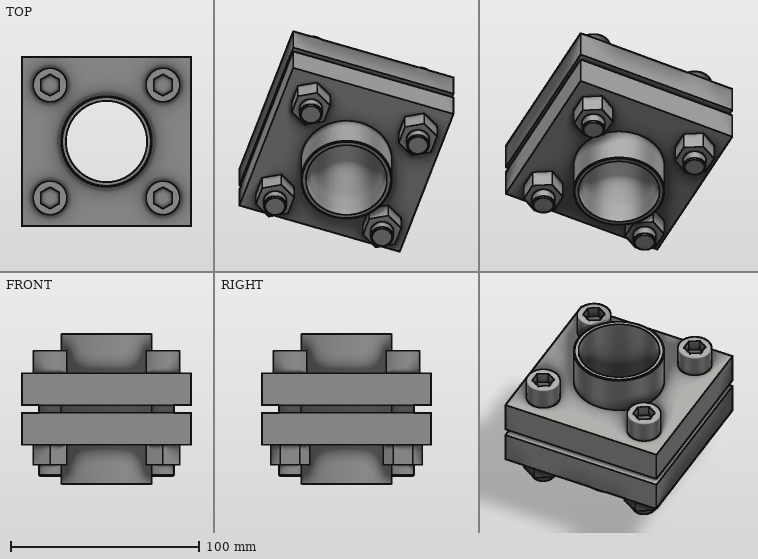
import cadquery as cq
import math

plate_side = 90.0
plate_thickness = 17.0
plate_gap = 4.05
plate_top = plate_gap / 2 + plate_thickness
plate_bottom = -plate_top

pipe_diameter = 48.3
bore_diameter = 43.1
pipe_length = 80.0
pipe_chamfer_height = 0.4
pipe_chamfer_width = 0.6
joint_diameter = 68.0

bolt_spacing = 60.0
shank_tip_z = -35.7
shank_chamfer = 0.7
head_diameter = 18.0
shank_diameter = 12.0
head_height = shank_diameter
head_fillet = 0.6
socket_width = 10.0
socket_depth = 6.0

nut_width = 18.0
nut_height = 10.7


def cylinder(diameter, bottom, top):
    """Vertical cylinder on the Z axis between two heights."""
    return cq.Workplane("XY", origin=(0, 0, bottom)).circle(diameter / 2).extrude(top - bottom)


def hexagon(width, bottom, top):
    """Vertical hexagonal prism with two flats facing +X and -X."""
    across_corners = width / math.cos(math.pi / 6)
    prism = cq.Workplane("XY", origin=(0, 0, bottom)).polygon(6, across_corners).extrude(top - bottom)
    return prism.rotate((0, 0, 0), (0, 0, 1), 30)


def plate(bottom):
    """Square flange plate starting at the given height."""
    return (
        cq.Workplane("XY", origin=(0, 0, bottom))
        .rect(plate_side, plate_side)
        .extrude(plate_thickness)
    )


def pipe():
    """Solid pipe body with a flat bevel on both outer ends; the bore is cut last."""
    rim_radius = pipe_diameter / 2 - pipe_chamfer_width
    end_z = pipe_length / 2
    bevel_z = end_z - pipe_chamfer_height
    profile = (
        cq.Workplane("XZ")
        .moveTo(0, -end_z)
        .lineTo(rim_radius, -end_z)
        .lineTo(pipe_diameter / 2, -bevel_z)
        .lineTo(pipe_diameter / 2, bevel_z)
        .lineTo(rim_radius, end_z)
        .lineTo(0, end_z)
        .close()
    )
    return profile.revolve(360, (0, 0, 0), (0, 1, 0))


def bolt_with_nut():
    """Bolt on the Z axis: rounded socket head, chamfered shank and nut."""
    head_top = plate_top + head_height
    shank = cylinder(shank_diameter, shank_tip_z, plate_top).faces("<Z").chamfer(shank_chamfer)
    head = cylinder(head_diameter, plate_top, head_top).faces(">Z").edges().fillet(head_fillet)
    socket = hexagon(socket_width, head_top - socket_depth, head_top)
    nut = hexagon(nut_width, plate_bottom - nut_height, plate_bottom)
    return shank.union(head.cut(socket)).union(nut)


flange = plate(plate_gap / 2).union(plate(plate_bottom))
flange = flange.union(cylinder(joint_diameter, -plate_gap / 2, plate_gap / 2))
flange = flange.union(pipe())

bolt = bolt_with_nut()
for x_side in (-1, 1):
    for y_side in (-1, 1):
        bolt_position = (x_side * bolt_spacing / 2, y_side * bolt_spacing / 2, 0)
        flange = flange.union(bolt.translate(bolt_position))

result = flange.cut(cylinder(bore_diameter, -pipe_length / 2, pipe_length / 2))